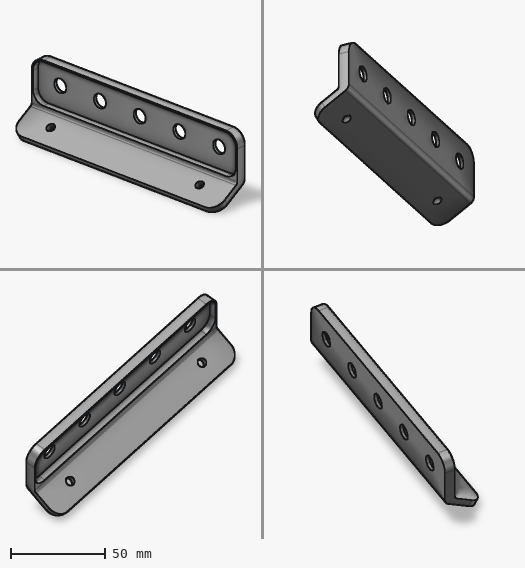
import cadquery as cq
import math

length = 145.0
depth = 23.3
height = 42.3

upright_thickness = 6.1
leg_thickness = 4.0
leg_slope = math.radians(30)
inner_bend_radius = 2.0
outer_bend_radius = 4.0
corner_radius = 8.1

rim_width = 1.0
recess_height = 26.0
recess_depth = 4.0

upright_hole_diameter = 8.4
upright_hole_count = 5
upright_hole_pitch = 28.0
leg_hole_diameter = 5.0
leg_hole_spacing = 105.0
leg_hole_from_bend = 8.7

recess_center_z = -rim_width - recess_height / 2

leg_end_bottom = (-depth + leg_thickness * math.sin(leg_slope), -height)
leg_end_top = (-depth, -height + leg_thickness * math.cos(leg_slope))
outer_bend = (0, leg_end_bottom[1] - leg_end_bottom[0] * math.tan(leg_slope))
inner_bend = (
    -upright_thickness,
    leg_end_top[1] + (depth - upright_thickness) * math.tan(leg_slope),
)

leg_plane = cq.Plane(
    origin=(0, *inner_bend),
    xDir=(1, 0, 0),
    normal=(0, -math.sin(leg_slope), math.cos(leg_slope)),
)


def bend_edge(point):
    """Select the lengthwise edge through a (Y, Z) corner of the section."""
    return cq.selectors.NearestToPointSelector((0, *point))


def bent_plate():
    section = [
        (0, 0),
        outer_bend,
        leg_end_bottom,
        leg_end_top,
        inner_bend,
        (-upright_thickness, 0),
    ]
    plate = cq.Workplane("YZ").polyline(section).close().extrude(length / 2, both=True)
    plate = plate.edges(bend_edge(inner_bend)).fillet(inner_bend_radius)
    plate = plate.edges(bend_edge(outer_bend)).fillet(outer_bend_radius)
    plate = plate.faces(">Z").edges("|Y").fillet(corner_radius)
    leg_end_middle_y = (leg_end_bottom[0] + leg_end_top[0]) / 2
    leg_end_middle_z = (leg_end_bottom[1] + leg_end_top[1]) / 2
    for x in (-length / 2, length / 2):
        corner = cq.selectors.NearestToPointSelector((x, leg_end_middle_y, leg_end_middle_z))
        plate = plate.edges(corner).fillet(corner_radius)
    return plate


def recess():
    return (
        cq.Workplane("XZ", origin=(0, -upright_thickness, recess_center_z))
        .rect(length - 2 * rim_width, recess_height)
        .extrude(-recess_depth)
        .edges("|Y")
        .fillet(corner_radius - rim_width)
    )


def upright_holes():
    return (
        cq.Workplane("XZ", origin=(0, 0, recess_center_z))
        .rarray(upright_hole_pitch, 1.5, upright_hole_count, 1)
        .circle(upright_hole_diameter / 2)
        .extrude(upright_thickness)
    )


def leg_holes():
    return (
        cq.Workplane(leg_plane)
        .center(0, -leg_hole_from_bend)
        .rarray(leg_hole_spacing, 1.5, 2, 1)
        .circle(leg_hole_diameter / 2)
        .extrude(-leg_thickness)
    )


result = bent_plate().cut(recess()).cut(upright_holes()).cut(leg_holes())